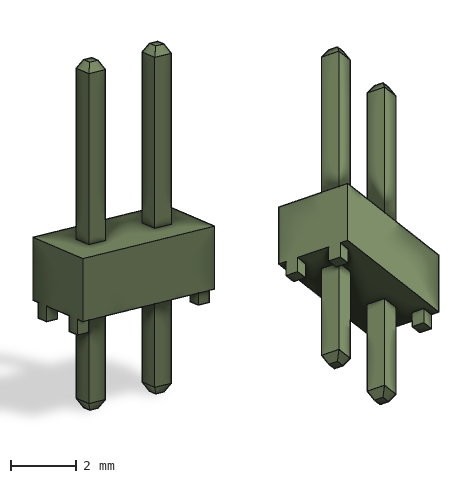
import cadquery as cq

total_height = 11.3
pitch = 2.54
pin_count = 2

housing_width = pitch
housing_length = pin_count * pitch
housing_bottom = 3.41
housing_height = 2.05
housing_top = housing_bottom + housing_height
foot_size = 0.43
foot_height = 0.51
foot_side_inset = 0.27

pin_width = 0.64
tip_width = 0.32
tip_length = 0.29


def make_housing():
    """Rectangular block with four feet, flush with the block's end faces."""
    block = (
        cq.Workplane("XY", origin=(0, 0, housing_bottom))
        .rect(housing_width, housing_length)
        .extrude(housing_height)
    )
    foot_spacing_x = housing_width - 2 * foot_side_inset - foot_size
    foot_spacing_y = housing_length - foot_size
    feet = (
        cq.Workplane("XY", origin=(0, 0, housing_bottom))
        .rect(foot_spacing_x, foot_spacing_y, forConstruction=True)
        .vertices()
        .rect(foot_size, foot_size)
        .extrude(-foot_height)
    )
    return block.union(feet)


def make_pin(y, base_z, end_z):
    """Square pin from a housing face at base_z to its tapered tip at end_z."""
    direction = 1 if end_z > base_z else -1
    shoulder_z = end_z - direction * tip_length
    shaft = (
        cq.Workplane("XY", origin=(0, y, base_z))
        .rect(pin_width, pin_width)
        .extrude(shoulder_z - base_z)
    )
    tip = (
        cq.Workplane("XY", origin=(0, y, shoulder_z))
        .rect(pin_width, pin_width)
        .workplane(offset=direction * tip_length)
        .rect(tip_width, tip_width)
        .loft(ruled=True)
    )
    return shaft.union(tip)


housing = make_housing()

contact_pins = []
solder_pins = []
for index in range(pin_count):
    pin_y = (index - (pin_count - 1) / 2) * pitch
    contact_pins.append(make_pin(pin_y, housing_top, total_height).val())
    solder_pins.append(make_pin(pin_y, housing_bottom, 0).val())

result = cq.Compound.makeCompound([housing.val(), *contact_pins, *solder_pins])